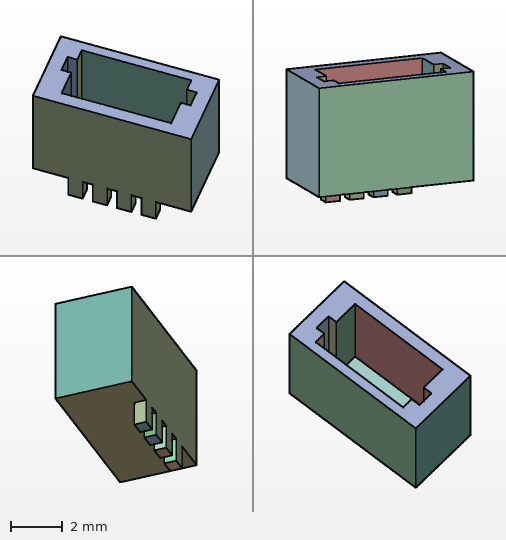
import cadquery as cq

length = 6.5
width = 3.2
total_height = 5.35
pin_height = 1.0
body_height = total_height - pin_height

cavity_length = 4.5
cavity_width = 2.3
front_wall = 0.5
floor_thickness = 0.5
cavity_depth = body_height - floor_thickness

key_span = 5.3
key_width = 0.7
key_front = 0.0

pin_count = 4
pin_pitch = 1.0
pin_width = 0.6
pin_thickness = 0.5

front_face = -width / 2


def socket_cut(span, depth_y, front_y):
    """Rectangular pocket from the top face down to the socket floor."""
    return (
        cq.Workplane("XY")
        .box(span, depth_y, cavity_depth, centered=(True, False, False))
        .translate((0, front_y, floor_thickness))
    )


def contact_pin(x):
    """Square-cut pin hanging below the housing, centred at x."""
    return (
        cq.Workplane("XY")
        .box(pin_width, pin_thickness, pin_height, centered=(True, False, False))
        .translate((x, front_face, -pin_height))
    )


housing = cq.Workplane("XY").box(length, width, body_height, centered=(True, True, False))
housing = housing.cut(socket_cut(cavity_length, cavity_width, front_face + front_wall))
housing = housing.cut(socket_cut(key_span, key_width, key_front))

for index in range(pin_count):
    pin_x = (index - (pin_count - 1) / 2) * pin_pitch
    housing = housing.union(contact_pin(pin_x))

result = housing